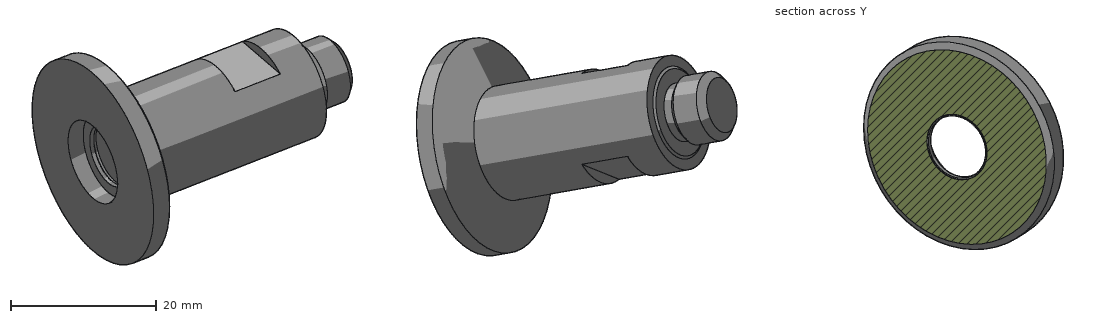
import cadquery as cq
import math

TOTAL_LENGTH = 40.5

FLANGE_DIAMETER = 30.0
RIM_WIDTH = 2.65
ROUNDING_DIAMETER = 27.45
CONE_ANGLE = 15
CONE_END = 4.85

SHANK_DIAMETER = 16.0
SHOULDER = 33.4
FLAT_START = 20.5
FLAT_LENGTH = 7.5
ACROSS_FLATS = 13.0

SEAT_BASE_DIAMETER = 12.95
SEAT_DIAMETER = 12.2
SEAT_HEIGHT = 0.25

NECK_DIAMETER = 8.2
NECK_END = 34.9
STUD_DIAMETER = 9.7
TIP_CHAMFER = 1.0

COUNTERBORE_DIAMETER = 12.2
COUNTERBORE_DEPTH = 2.5
BORE_DIAMETER = 9.0
BORE_DEPTH = 0.7
UNDERCUT_DIAMETER = 9.4
UNDERCUT_DEPTH = 0.5


def turned_body():
    """Revolve the outer profile, given in (radius, Y), about the Y axis."""
    stud_radius = STUD_DIAMETER / 2
    neck_radius = NECK_DIAMETER / 2
    seat_face = SHOULDER + SEAT_HEIGHT
    neck_chamfer = stud_radius - neck_radius
    shank_radius = SHANK_DIAMETER / 2
    rounding_radius = ROUNDING_DIAMETER / 2
    cone_slope = math.tan(math.radians(CONE_ANGLE))
    cone_start = CONE_END - (rounding_radius - shank_radius) * cone_slope
    shank_and_stud = [
        (shank_radius, CONE_END),
        (shank_radius, SHOULDER),
        (SEAT_BASE_DIAMETER / 2, SHOULDER),
        (SEAT_DIAMETER / 2, seat_face),
        (neck_radius, seat_face),
        (neck_radius, NECK_END),
        (stud_radius, NECK_END + neck_chamfer),
        (stud_radius, TOTAL_LENGTH - TIP_CHAMFER),
        (stud_radius - TIP_CHAMFER, TOTAL_LENGTH),
        (0, TOTAL_LENGTH),
    ]
    profile = (
        cq.Workplane("XY")
        .moveTo(*shank_and_stud[0])
        .lineTo(rounding_radius, cone_start)
        .tangentArcPoint((FLANGE_DIAMETER / 2, RIM_WIDTH), relative=False)
        .lineTo(FLANGE_DIAMETER / 2, 0)
        .lineTo(0, 0)
        .polyline(shank_and_stud[::-1], includeCurrent=True)
        .close()
    )
    return profile.revolve(360, (0, 0), (0, 1))


def flat_cutter(side):
    """Block that mills one wrench flat; side is +1 (top) or -1 (bottom)."""
    depth = (SHANK_DIAMETER - ACROSS_FLATS) / 2
    height = 2 * depth
    return cq.Workplane("XY").box(SHANK_DIAMETER, FLAT_LENGTH, height).translate(
        (0, FLAT_START + FLAT_LENGTH / 2, side * (ACROSS_FLATS + height) / 2)
    )


def bore_cutter():
    """Coaxial cylinders stacked inward from the flange face."""
    steps = [
        (COUNTERBORE_DIAMETER, COUNTERBORE_DEPTH),
        (BORE_DIAMETER, BORE_DEPTH),
        (UNDERCUT_DIAMETER, UNDERCUT_DEPTH),
    ]
    cutter = cq.Workplane("XZ")
    start = 0
    for diameter, depth in steps:
        step = cq.Workplane("XZ", origin=(0, start, 0)).circle(diameter / 2).extrude(-depth)
        cutter = cutter.add(step)
        start += depth
    return cutter.combine()


result = turned_body()
for side in (1, -1):
    result = result.cut(flat_cutter(side))
result = result.cut(bore_cutter())